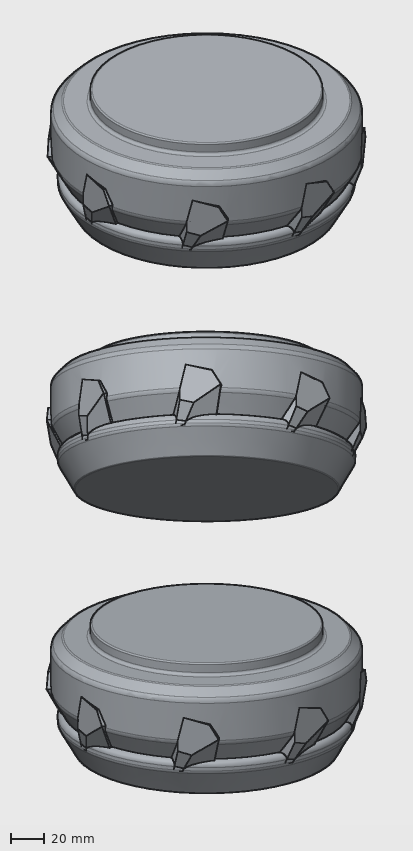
import cadquery as cq
import math

TOTAL_HEIGHT = 80.0
SHOULDER_Z = 72.0
SKIRT_Z = 37.7
SEAT_Z = 17.3

CAP_RADIUS = 93.8
BOSS_RADIUS = 140.0 / 2
BOSS_EDGE_FILLET = 1.0
BOSS_ROOT_FILLET = 2.0
SHOULDER_CHAMFER = 7.0
CHAMFER_TOP_FILLET = 1.5
CHAMFER_SIDE_FILLET = 4.7
SKIRT_FILLET = 5.6
NECK_TAPER = math.radians(30)

RIM_RADIUS = 89.7
RIM_TOP_Z = 24.5
RIM_FILLET = 4.1
BOWL_TAPER = math.radians(30)
BOWL_SIDE_FILLET = 3.8
BOWL_BOTTOM_FILLET = 1.0

TOOTH_COUNT = 8
FIRST_TOOTH_ANGLE = 9.2
TOOTH_TILT = 13.6
TOOTH_CORNER_OFFSET = 1.5
TOOTH_TOP_Z = 53.5
TOOTH_WIDTH = 23.8
TOOTH_DEPTH = 22.5
TOOTH_LENGTH = 56.3
TOOTH_CORNER_CHAMFER = 7.5
TIP_BEVEL_START = 22.0
TIP_BEVEL_ANGLE = math.radians(20)
SIDE_BEVEL_ANGLE = math.radians(36)
SIDE_BEVEL_TURN = math.radians(47)
EDGE_FLARE = 0.6
EDGE_BEVEL_START = 15.4
EDGE_BEVEL_SLOPE = 0.25


def revolve_profile(points):
    """Solid of revolution about Z from (radius, height) points."""
    return cq.Workplane("XZ").polyline(points).close().revolve(360, (0, 0), (0, 1))


def fillet_circle(body, radius, height, size):
    """Round the circular edge that has the given radius and height."""
    margin = 0.1
    box = cq.selectors.BoxSelector(
        (-radius - margin, -radius - margin, height - margin),
        (radius + margin, radius + margin, height + margin),
        boundingbox=True,
    )
    circles = body.edges("%CIRCLE").edges(box).vals()
    ring = [edge for edge in circles if abs(edge.radius() - radius) < margin]
    return body.newObject([body.val().fillet(size, ring)])


def cut_beyond(body, point, normal):
    """Remove everything on the normal's side of the plane through the point."""
    reach = 4 * TOOTH_LENGTH
    plane = cq.Plane(origin=point, normal=normal)
    return body.cut(cq.Workplane(plane).rect(reach, reach).extrude(reach))


def make_tooth():
    """One tooth in its bar frame: X across, Y up the bar, Z out of the outer face."""
    flare_width = EDGE_FLARE * TOOTH_DEPTH
    bar = (
        cq.Workplane("XY")
        .moveTo(-flare_width, 0)
        .lineTo(TOOTH_WIDTH - TOOTH_CORNER_CHAMFER, 0)
        .lineTo(TOOTH_WIDTH, -TOOTH_CORNER_CHAMFER)
        .lineTo(TOOTH_WIDTH, -TOOTH_LENGTH)
        .lineTo(-flare_width, -TOOTH_LENGTH)
        .close()
        .extrude(-TOOTH_DEPTH)
    )
    bar = cut_beyond(bar, (0, 0, 0), (-1, 0, EDGE_FLARE))
    tip_rise = math.tan(TIP_BEVEL_ANGLE)
    bar = cut_beyond(bar, (0, -TIP_BEVEL_START, 0), (0, -tip_rise, 1))
    side_rise = math.tan(SIDE_BEVEL_ANGLE)
    side_normal = (
        side_rise * math.sin(SIDE_BEVEL_TURN),
        -side_rise * math.cos(SIDE_BEVEL_TURN),
        1,
    )
    bar = cut_beyond(bar, (TOOTH_WIDTH, -TOOTH_CORNER_CHAMFER, 0), side_normal)
    bar = cut_beyond(
        bar, (0, -EDGE_BEVEL_START, 0), (-tip_rise / EDGE_BEVEL_SLOPE, -tip_rise, 1)
    )
    return bar


def place_tooth(tooth, angle):
    """Stand a tooth against the cap with its outer face touching at the angle."""
    face = cq.Plane(origin=(CAP_RADIUS, 0, TOOTH_TOP_Z), xDir=(0, 1, 0), normal=(1, 0, 0))
    placed = tooth.val().rotate((0, 0, 0), (0, 0, 1), -TOOTH_TILT)
    placed = placed.translate((TOOTH_CORNER_OFFSET, 0, 0)).moved(cq.Location(face))
    return placed.rotate((0, 0, 0), (0, 0, 1), angle)


def make_cap():
    """Boss, shoulder, side and tapered neck, with the ring of teeth."""
    chamfer_radius = CAP_RADIUS - SHOULDER_CHAMFER
    chamfer_z = SHOULDER_Z - SHOULDER_CHAMFER
    neck_radius = CAP_RADIUS - (SKIRT_Z - SEAT_Z) * math.tan(NECK_TAPER)
    cap = revolve_profile(
        [
            (0, SEAT_Z),
            (neck_radius, SEAT_Z),
            (CAP_RADIUS, SKIRT_Z),
            (CAP_RADIUS, chamfer_z),
            (chamfer_radius, SHOULDER_Z),
            (BOSS_RADIUS, SHOULDER_Z),
            (BOSS_RADIUS, TOTAL_HEIGHT),
            (0, TOTAL_HEIGHT),
        ]
    )
    cap = fillet_circle(cap, BOSS_RADIUS, TOTAL_HEIGHT, BOSS_EDGE_FILLET)
    cap = fillet_circle(cap, BOSS_RADIUS, SHOULDER_Z, BOSS_ROOT_FILLET)
    cap = fillet_circle(cap, chamfer_radius, SHOULDER_Z, CHAMFER_TOP_FILLET)
    cap = fillet_circle(cap, CAP_RADIUS, chamfer_z, CHAMFER_SIDE_FILLET)
    cap = fillet_circle(cap, CAP_RADIUS, SKIRT_Z, SKIRT_FILLET)
    tooth = make_tooth()
    for index in range(TOOTH_COUNT):
        angle = FIRST_TOOTH_ANGLE + index * 360 / TOOTH_COUNT
        cap = cap.union(place_tooth(tooth, angle))
    return cut_beyond(cap, (0, 0, SEAT_Z), (0, 0, -1))


def make_bowl(cap):
    """Tapered bowl whose recess matches the neck and teeth of the cap."""
    bottom_radius = RIM_RADIUS - SEAT_Z * math.tan(BOWL_TAPER)
    bowl = revolve_profile(
        [
            (0, 0),
            (bottom_radius, 0),
            (RIM_RADIUS, SEAT_Z),
            (RIM_RADIUS, RIM_TOP_Z),
            (0, RIM_TOP_Z),
        ]
    )
    bowl = fillet_circle(bowl, bottom_radius, 0, BOWL_BOTTOM_FILLET)
    bowl = fillet_circle(bowl, RIM_RADIUS, SEAT_Z, BOWL_SIDE_FILLET)
    bowl = fillet_circle(bowl, RIM_RADIUS, RIM_TOP_Z, RIM_FILLET)
    return bowl.cut(cap)


cap = make_cap()
bowl = make_bowl(cap)
result = cq.Compound.makeCompound([cap.val(), bowl.val()])